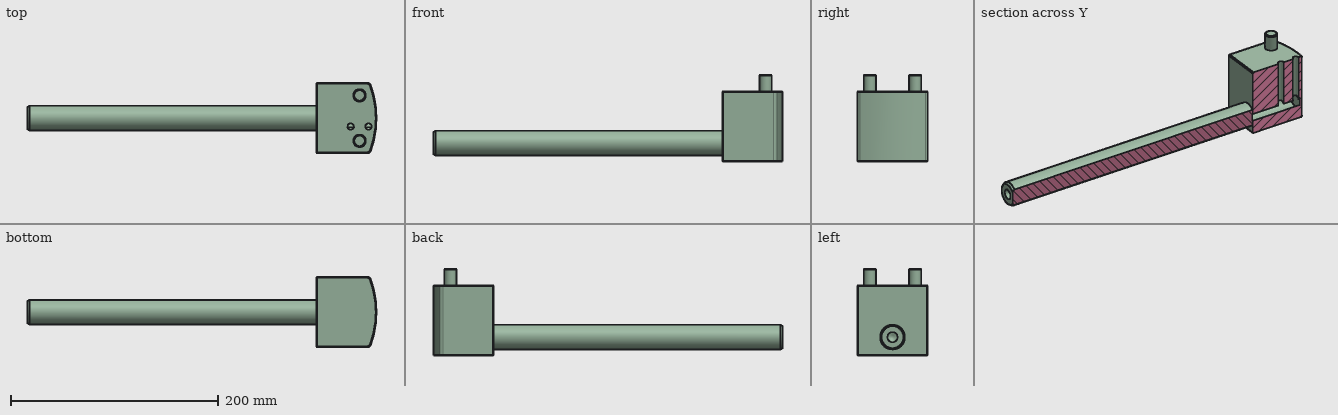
import cadquery as cq
import math


total_length = 337.0
total_height = 84.0

head_length = 58.3
head_width = 68.0
head_height = 68.0
head_bottom = -18.0
head_top = head_bottom + head_height
front_radius = 92.0
front_corner_radius = 4.0
head_chamfer = 1.0

rod_length = total_length - head_length
rod_diameter = 24.0
rod_chamfer_length = 2.5
rod_chamfer_depth = 1.5
rod_hole_diameter = 9.8
rod_hole_depth = 23.5

pin_diameter = 12.0
pin_height = total_height - head_height
pin_chamfer = 1.0
pin_x = 41.8
pin_spacing = 43.8

rear_bore_diameter = 17.5
rear_bore_depth = 55.0

top_hole_diameter = 6.0
top_hole_depth = head_top
top_hole_spacing = 17.2
top_hole_y = -8.0

drill_tip_angle = 140.0


def make_drill(diameter, depth):
    """Drill along -Z from the origin: a straight bore followed by a conical tip."""
    radius = diameter / 2
    tip_length = radius / math.tan(math.radians(drill_tip_angle / 2))
    profile = [(0, 0), (radius, 0), (radius, -depth), (0, -depth - tip_length)]
    return cq.Workplane("XZ").polyline(profile).close().revolve(360, (0, 0, 0), (0, 1, 0))


def make_head():
    half_width = head_width / 2
    arc_sagitta = front_radius - math.sqrt(front_radius**2 - half_width**2)
    side_length = head_length - arc_sagitta
    block = (
        cq.Workplane("XY")
        .workplane(offset=head_bottom)
        .moveTo(0, -half_width)
        .lineTo(side_length, -half_width)
        .threePointArc((head_length, 0), (side_length, half_width))
        .lineTo(0, half_width)
        .close()
        .extrude(head_height)
    )
    block = block.edges("|Z").edges(">X").fillet(front_corner_radius)
    block = block.faces("<X or >Z or <Z").edges().chamfer(head_chamfer)

    rear_bore = cq.Workplane("YZ").circle(rear_bore_diameter / 2).extrude(rear_bore_depth)
    block = block.cut(rear_bore)

    drill = make_drill(top_hole_diameter, top_hole_depth)
    for side in (-1, 1):
        hole_x = pin_x + side * top_hole_spacing / 2
        block = block.cut(drill.translate((hole_x, top_hole_y, head_top)))
    return block


def make_rod():
    rod = cq.Workplane("YZ").circle(rod_diameter / 2).extrude(-rod_length)
    rod = rod.faces("<X").edges().chamfer(rod_chamfer_length, rod_chamfer_depth)
    drill = make_drill(rod_hole_diameter, rod_hole_depth).rotate((0, 0, 0), (0, 1, 0), -90)
    return rod.cut(drill.translate((-rod_length, 0, 0)))


def make_pin(pin_y):
    pin = cq.Workplane("XY").circle(pin_diameter / 2).extrude(pin_height)
    pin = pin.faces(">Z").chamfer(pin_chamfer)
    return pin.translate((pin_x, pin_y, head_top))


head = make_head()
rod = make_rod()
pins = [make_pin(side * pin_spacing / 2) for side in (-1, 1)]

result = cq.Compound.makeCompound([head.val(), rod.val(), *[pin.val() for pin in pins]])